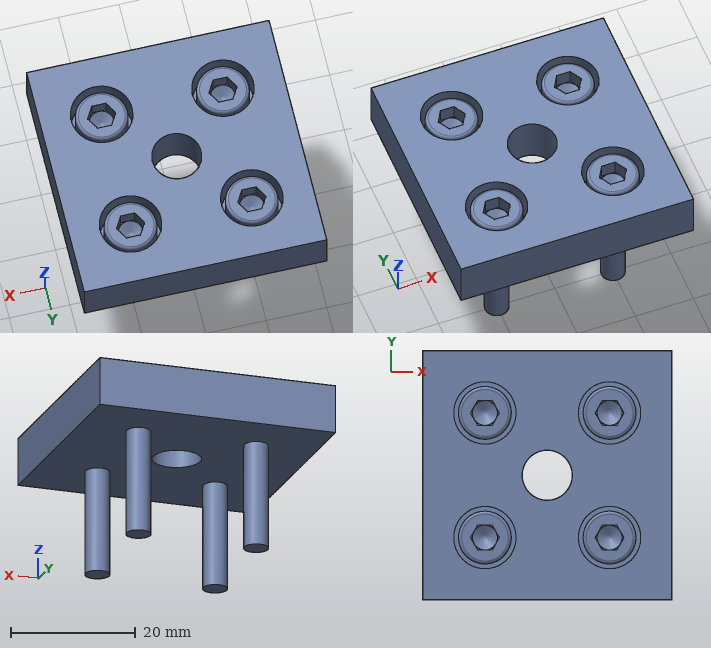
import cadquery as cq
import math

plate_side = 40.0
plate_thickness = 8.0
centre_hole_diameter = 8.0

screw_spacing = 20.0
shank_diameter = 4.0
shank_length = 20.0
head_diameter = 8.5
head_height = 5.0
head_edge_radius = 0.5

socket_across_flats = 4.0
socket_depth = 2.5
drill_point_angle = 120.0

counterbore_diameter = 10.0
head_recess = 0.5

counterbore_depth = head_recess + head_height
seat_level = plate_thickness - counterbore_depth
socket_across_corners = socket_across_flats / math.cos(math.radians(30))
socket_radius = socket_across_flats / 2
drill_point_depth = socket_radius / math.tan(math.radians(drill_point_angle / 2))

half_spacing = screw_spacing / 2
screw_positions = [(x, y) for x in (-half_spacing, half_spacing) for y in (-half_spacing, half_spacing)]


def make_plate():
    """Square plate with a central through hole and four counterbored screw holes."""
    block = cq.Workplane("XY").box(plate_side, plate_side, plate_thickness, centered=(True, True, False))
    bored = block.faces(">Z").workplane().hole(centre_hole_diameter)
    return (
        bored.faces(">Z")
        .workplane()
        .pushPoints(screw_positions)
        .cboreHole(shank_diameter, counterbore_diameter, counterbore_depth)
    )


def make_socket():
    """Volume of the hexagonal socket, opening at the head top and ending in a cone."""
    floor_level = head_height - socket_depth
    hexagon = (
        cq.Workplane("XY")
        .workplane(offset=floor_level)
        .polygon(6, socket_across_corners)
        .extrude(socket_depth)
    )
    drill_point = (
        cq.Workplane("XZ")
        .moveTo(0, floor_level)
        .lineTo(socket_radius, floor_level)
        .lineTo(0, floor_level - drill_point_depth)
        .close()
        .revolve(360, (0, 0, 0), (0, 1, 0))
    )
    return hexagon.union(drill_point)


def make_screw():
    """Cap screw on the Z axis, with the underside of its head at Z = 0."""
    head = cq.Workplane("XY").circle(head_diameter / 2).extrude(head_height)
    head = head.faces(">Z").edges().fillet(head_edge_radius)
    shank = cq.Workplane("XY").circle(shank_diameter / 2).extrude(-shank_length)
    return head.union(shank).cut(make_socket())


plate = make_plate()
screws = []
for x, y in screw_positions:
    screw = make_screw().translate((x, y, seat_level))
    screws.append(screw.val())

result = cq.Compound.makeCompound([plate.val(), *screws])